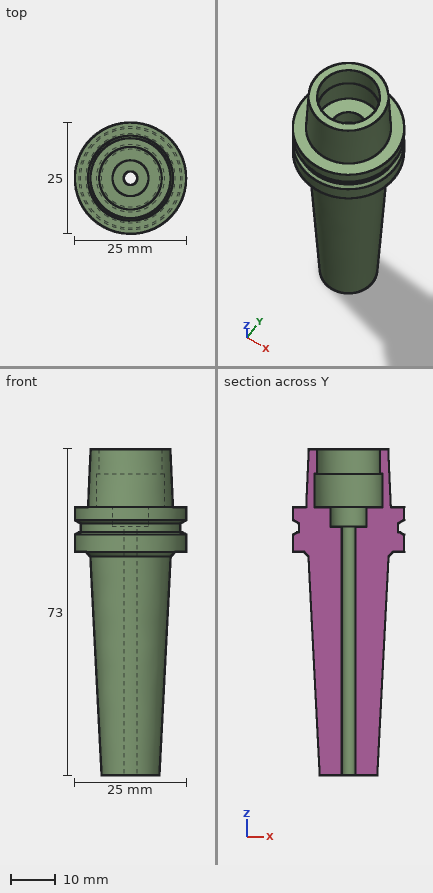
import cadquery as cq

total_length = 73.0
shank_length = 13.0
flange_height = 10.0
flange_top = total_length - shank_length
flange_bottom = flange_top - flange_height

shank_base_diameter = 19.05
shank_top_diameter = 17.9

flange_diameter = 25.0
groove_diameter = 22.35
ledge_diameter = 23.1
upper_chamfer_height = 0.7
lower_chamfer_height = 0.5
groove_upper_edge = flange_top - 2.9
groove_lower_edge = flange_top - 6.1
ledge_height = groove_lower_edge + lower_chamfer_height

collar_height = 1.1
collar_top_diameter = 20.0
nose_top_diameter = 18.0
nose_tip_diameter = 13.0

mouth_diameter = 14.0
mouth_depth = 5.55
undercut_diameter = 15.2
undercut_length = 7.45
counterbore_diameter = 8.0
counterbore_depth = 4.4
through_diameter = 3.0
mouth_bottom = total_length - mouth_depth
undercut_floor = mouth_bottom - undercut_length
counterbore_floor = undercut_floor - counterbore_depth


def revolve_about_z(profile):
    """Turn a closed outline of (diameter, height) points about the Z axis."""
    half_section = [(diameter / 2, height) for diameter, height in profile]
    return cq.Workplane("XZ").polyline(half_section).close().revolve(360, (0, 0, 0), (0, 1, 0))


body = revolve_about_z([
    (0, 0),
    (nose_tip_diameter, 0),
    (nose_top_diameter, flange_bottom - collar_height),
    (collar_top_diameter, flange_bottom),
    (flange_diameter, flange_bottom),
    (flange_diameter, groove_lower_edge),
    (ledge_diameter, ledge_height),
    (groove_diameter, ledge_height),
    (groove_diameter, groove_upper_edge - upper_chamfer_height),
    (flange_diameter, groove_upper_edge),
    (flange_diameter, flange_top),
    (shank_base_diameter, flange_top),
    (shank_top_diameter, total_length),
    (0, total_length),
])

bore = revolve_about_z([
    (0, 0),
    (through_diameter, 0),
    (through_diameter, counterbore_floor),
    (counterbore_diameter, counterbore_floor),
    (counterbore_diameter, undercut_floor),
    (undercut_diameter, undercut_floor),
    (undercut_diameter, mouth_bottom),
    (mouth_diameter, mouth_bottom),
    (mouth_diameter, total_length),
    (0, total_length),
])

result = body.cut(bore)